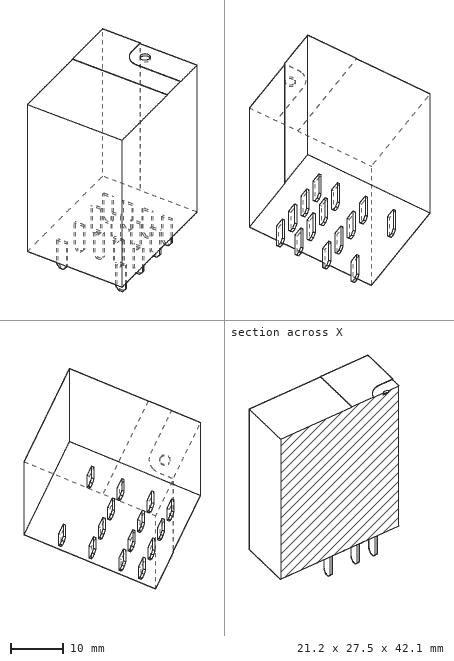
import cadquery as cq

body_width = 21.2
overall_depth = 27.5
overall_height = 42.1
pin_length = 6.5
label_thickness = 0.1

body_height = overall_height - pin_length - label_thickness
body_depth = overall_depth - label_thickness
left_x = -body_width / 2
front_y = -overall_depth / 2
back_y = front_y + body_depth

label_reach = 11.0
window_left = 8.4
window_depth = 6.05
window_radius = 3.0

hole_diameter = 2.0
hole_depth = 0.5

pin_width = 2.15
pin_thickness = 0.5
pin_tip_chamfer_width = 0.65
pin_tip_chamfer_height = 0.8
pin_pitch = 4.4
pin_columns = 4
first_column_x = -pin_pitch * (pin_columns - 1) / 2
contact_rows_from_front = (22.9, 18.75, 12.5)
coil_row_from_front = 6.2


def make_housing():
    """Rectangular housing."""
    return cq.Workplane("XY").box(
        body_width, body_depth, body_height, centered=False
    ).translate((left_x, front_y, 0))


def make_label():
    """Label block overlapping the housing, trimmed to its outline."""
    skin = cq.Workplane("XY").box(
        body_width, label_reach, body_height + label_thickness, centered=False
    ).translate((left_x, back_y + label_thickness - label_reach, 0))
    return skin.cut(make_window())


def make_window():
    """Full-height block, rounded at its inner corner, that leaves the housing bare of label."""
    window_width = body_width - window_left
    depth = window_depth + label_thickness
    height = body_height + label_thickness
    return (
        cq.Workplane("XY")
        .box(window_width, depth, height, centered=False)
        .translate((left_x + window_left, back_y - window_depth, 0))
        .edges("|Z and <X and <Y")
        .fillet(window_radius)
    )


def make_hole():
    """Blind hole in the housing top."""
    return (
        cq.Workplane("XY", origin=(0, 0, body_height - hole_depth))
        .center(left_x + window_left + window_radius, back_y - window_depth + window_radius)
        .circle(hole_diameter / 2)
        .extrude(hole_depth)
    )


def make_pin(x, y):
    """Blade pin hanging from the base, with both tip corners bevelled."""
    half_width = pin_width / 2
    tip_half_width = half_width - pin_tip_chamfer_width
    shoulder_z = pin_tip_chamfer_height - pin_length
    outline = [
        (-half_width, 0),
        (-half_width, shoulder_z),
        (-tip_half_width, -pin_length),
        (tip_half_width, -pin_length),
        (half_width, shoulder_z),
        (half_width, 0),
    ]
    return (
        cq.Workplane("XZ")
        .polyline(outline)
        .close()
        .extrude(pin_thickness / 2, both=True)
        .translate((x, y, 0))
    )


def make_pins():
    """All pins: full contact rows, and a coil row with the two outer columns only."""
    column_xs = [first_column_x + i * pin_pitch for i in range(pin_columns)]
    outer_xs = (column_xs[0], column_xs[-1])
    rows = [(row, column_xs) for row in contact_rows_from_front]
    rows.append((coil_row_from_front, outer_xs))
    return [make_pin(x, front_y + row) for row, xs in rows for x in xs]


result = make_housing().union(make_label()).cut(make_hole())
for pin in make_pins():
    result = result.union(pin)